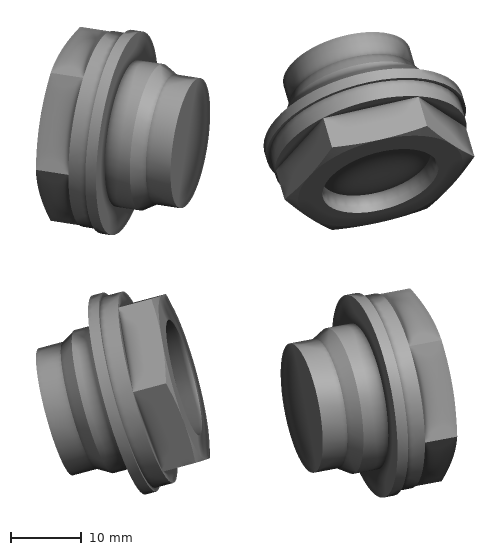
import cadquery as cq
import math

across_flats = 24.0
across_corners = across_flats / math.cos(math.radians(30))
head_length = 5.36
corner_chamfer_angle = 15.0

recess_mouth_diameter = 16.92
recess_floor_diameter = 16.0
recess_depth = 2.6

collar_diameter = 28.0
collar_length = 2.68
washer_diameter = 29.12
washer_length = 1.6
body_diameter = 20.95
body_length = 3.7
cone_length = 2.0
tip_diameter = 18.6
overall_length = 19.01

collar_start = head_length
washer_start = collar_start + collar_length
body_start = washer_start + washer_length
cone_start = body_start + body_length
tip_start = cone_start + cone_length


def revolve_about_x(profile):
    """Solid of revolution about the X axis from (x, radius) points."""
    return cq.Workplane("XY").polyline(profile).close().revolve(360, (0, 0, 0), (1, 0, 0))


def hex_head():
    """Hexagonal prism with its flats facing +Z and -Z and its front corners chamfered."""
    prism = cq.Workplane("YZ").polygon(6, across_corners).extrude(head_length)
    face_radius = across_flats / 2
    chamfer_slope = math.tan(math.radians(corner_chamfer_angle))
    outer_radius = across_corners
    chamfer_end = (outer_radius - face_radius) * chamfer_slope
    envelope = revolve_about_x([
        (0, 0),
        (0, face_radius),
        (chamfer_end, outer_radius),
        (head_length, outer_radius),
        (head_length, 0),
    ])
    return prism.intersect(envelope)


def turned_body():
    """Collar, washer, body, cone and tip."""
    return revolve_about_x([
        (collar_start, 0),
        (collar_start, collar_diameter / 2),
        (washer_start, collar_diameter / 2),
        (washer_start, washer_diameter / 2),
        (body_start, washer_diameter / 2),
        (body_start, body_diameter / 2),
        (cone_start, body_diameter / 2),
        (tip_start, tip_diameter / 2),
        (overall_length, tip_diameter / 2),
        (overall_length, 0),
    ])


def head_recess():
    """Tapered blind recess opening on the head face."""
    return revolve_about_x([
        (0, 0),
        (0, recess_mouth_diameter / 2),
        (recess_depth, recess_floor_diameter / 2),
        (recess_depth, 0),
    ])


result = hex_head().union(turned_body()).cut(head_recess())